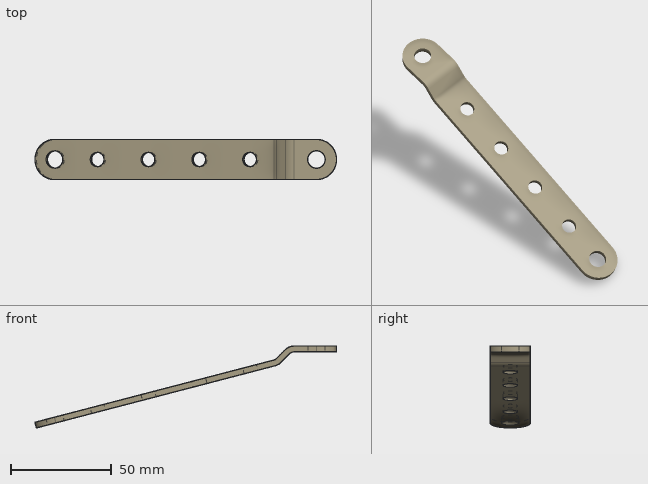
import cadquery as cq
import math

length = 149.5
width = 20.0
height = 40.7
thickness = 3.0

arm_angle = math.radians(14.6)
ramp_angle = math.radians(45)
inner_bend_radius = 3.0
outer_bend_radius = inner_bend_radius + thickness
tab_length = 23.6

end_hole_diameter = 8.5
arm_hole_diameter = 7.0
arm_hole_count = 4
arm_hole_pitch = 26.0
first_arm_hole_offset = 21.8

end_radius = width / 2

arm_tip = (0, thickness * math.cos(arm_angle))
tab_bend_x = length - tab_length
ramp_run = (
    height - arm_tip[1] - tab_bend_x * math.tan(arm_angle)
) / (math.tan(ramp_angle) - math.tan(arm_angle))
arm_bend_x = tab_bend_x - ramp_run
arm_bend = (arm_bend_x, arm_tip[1] + arm_bend_x * math.tan(arm_angle))
tab_bend = (tab_bend_x, height)


def below_bend(corner, angle_before, angle_after):
    """Return the lower-face corner one thickness below an upper-face corner."""
    bisector = (angle_before + angle_after) / 2
    miter = thickness / math.cos((angle_after - angle_before) / 2)
    return corner[0] + miter * math.sin(bisector), corner[1] - miter * math.cos(bisector)


def bent_strip():
    """Square-ended strip with concentric inside and outside bend radii."""
    arm_bend_below = below_bend(arm_bend, arm_angle, ramp_angle)
    tab_bend_below = below_bend(tab_bend, ramp_angle, 0)
    arm_tip_below = (thickness * math.sin(arm_angle), 0)
    strip = (
        cq.Workplane("XZ")
        .polyline([
            arm_tip,
            arm_bend,
            tab_bend,
            (length, height),
            (length, height - thickness),
            tab_bend_below,
            arm_bend_below,
            arm_tip_below,
        ])
        .close()
        .extrude(width / 2, both=True)
    )
    bend_radii = [
        (arm_bend, inner_bend_radius),
        (arm_bend_below, outer_bend_radius),
        (tab_bend, outer_bend_radius),
        (tab_bend_below, inner_bend_radius),
    ]
    for (x, z), radius in bend_radii:
        edge = cq.selectors.NearestToPointSelector((x, 0, z))
        strip = strip.edges("|Y").edges(edge).fillet(radius)
    return strip


def end_trim(plane):
    """Material outside a half-round end whose tip is at the plane origin, facing local -X."""
    block = cq.Workplane(plane).center(end_radius / 2, 0).rect(end_radius, width)
    block = block.extrude(-thickness)
    disc = cq.Workplane(plane).center(end_radius, 0).circle(end_radius).extrude(-thickness)
    return block.cut(disc)


def holes(plane, distances, diameter):
    """Through-hole cutters at the given distances from the tip."""
    points = [(distance, 0) for distance in distances]
    return cq.Workplane(plane).pushPoints(points).circle(diameter / 2).extrude(-thickness)


arm_plane = cq.Plane(
    origin=(arm_tip[0], 0, arm_tip[1]),
    xDir=(math.cos(arm_angle), 0, math.sin(arm_angle)),
    normal=(-math.sin(arm_angle), 0, math.cos(arm_angle)),
)
tab_plane = cq.Plane(origin=(length, 0, height), xDir=(-1, 0, 0), normal=(0, 0, 1))

result = bent_strip()
for tip_plane in (arm_plane, tab_plane):
    result = result.cut(end_trim(tip_plane))
    result = result.cut(holes(tip_plane, [end_radius], end_hole_diameter))

arm_hole_distances = [
    end_radius + first_arm_hole_offset + i * arm_hole_pitch for i in range(arm_hole_count)
]
result = result.cut(holes(arm_plane, arm_hole_distances, arm_hole_diameter))